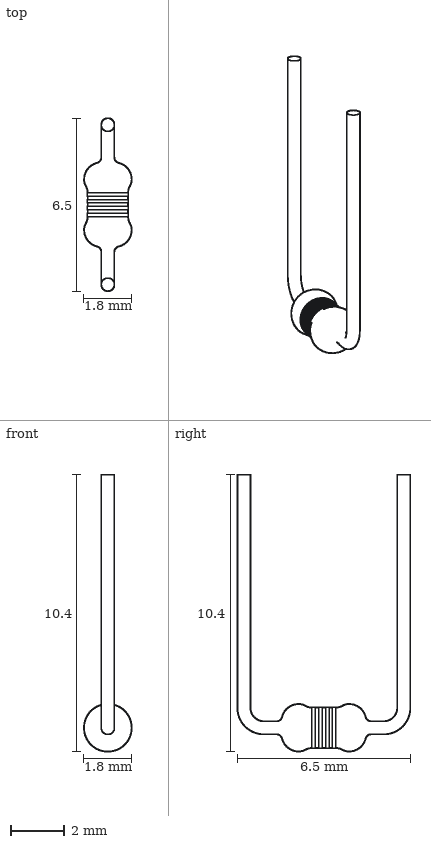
import cadquery as cq
import math

total_height = 10.4
total_span = 6.5

wire_diameter = 0.5
bend_radius = 0.75

bead_diameter = 1.8
core_diameter = 1.53
bead_offset = 0.95
bead_outer_radius = 0.65
bead_tip_offset = 1.77

band_diameter = 1.55
band_count = 4
core_length = 0.9

wire_radius = wire_diameter / 2
bead_radius = bead_diameter / 2
core_radius = core_diameter / 2
wire_top = total_height - bead_radius
wire_offset = total_span / 2 - wire_radius
core_half_length = core_length / 2
band_width = core_length / (2 * band_count - 1)
band_pitch = 2 * band_width


def make_bead():
    """Bead on the +Y side, with its shoulder to the core and flare onto the wire."""
    shoulder_length = bead_offset - core_half_length
    shoulder_height = bead_radius - core_radius
    shoulder_radius = (shoulder_length**2 + shoulder_height**2) / (4 * shoulder_height)
    shoulder_middle = (core_radius + shoulder_height / 2, core_half_length + shoulder_length / 2)

    arc_center = bead_radius - bead_outer_radius
    run = bead_tip_offset - bead_offset
    rise = wire_radius - arc_center
    flare_radius = (run**2 + rise**2 - bead_outer_radius**2) / (2 * (bead_outer_radius - rise))
    flare_angle = math.atan2(rise + flare_radius, run)
    flare_start = (
        arc_center + bead_outer_radius * math.sin(flare_angle),
        bead_offset + bead_outer_radius * math.cos(flare_angle),
    )
    bead_angle = (flare_angle + math.pi / 2) / 2
    bead_middle = (
        arc_center + bead_outer_radius * math.sin(bead_angle),
        bead_offset + bead_outer_radius * math.cos(bead_angle),
    )

    profile = (
        cq.Workplane("XY")
        .moveTo(0, core_half_length)
        .lineTo(core_radius, core_half_length)
        .radiusArc(shoulder_middle, shoulder_radius)
        .radiusArc((bead_radius, bead_offset), -shoulder_radius)
        .threePointArc(bead_middle, flare_start)
        .radiusArc((wire_radius, bead_tip_offset), flare_radius)
        .lineTo(0, bead_tip_offset)
        .close()
    )
    return profile.revolve(360, (0, 0, 0), (0, 1, 0))


def make_disc(center, length, diameter):
    """Disc about the Y axis, centred at the given Y position."""
    disc = cq.Workplane("XZ", origin=(0, center - length / 2, 0)).circle(diameter / 2)
    return disc.extrude(-length)


def make_lead():
    """Wire on the +Y side, leaving the body along Y and bending up along Z."""
    path = (
        cq.Workplane("YZ")
        .moveTo(bead_tip_offset, 0)
        .lineTo(wire_offset - bend_radius, 0)
        .radiusArc((wire_offset, bend_radius), -bend_radius)
        .lineTo(wire_offset, wire_top)
    )
    section = cq.Workplane("XZ", origin=(0, bead_tip_offset, 0)).circle(wire_radius)
    return section.sweep(path)


end = make_bead().union(make_lead())
core = make_disc(0, core_length, core_diameter)
result = core.union(end).union(end.mirror("XZ"))
for index in range(band_count):
    band_center = (index - (band_count - 1) / 2) * band_pitch
    result = result.union(make_disc(band_center, band_width, band_diameter))